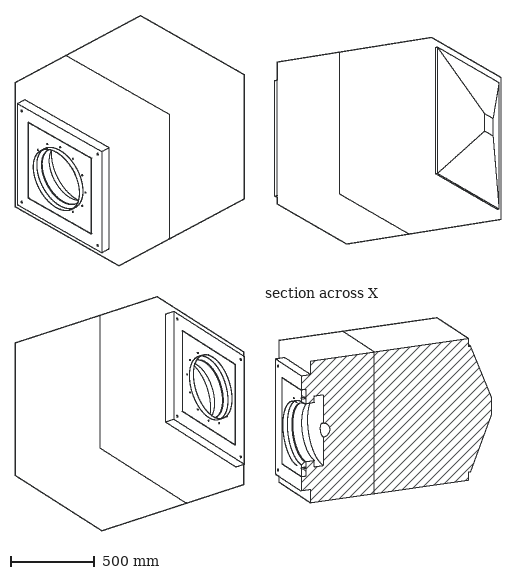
import cadquery as cq


total_length = 1280.0
casing_side = 890.0
front_length = 421.0
rear_length = 620.0
edge_radius = 3.0

frame_side = 722.0
frame_depth = 61.0
frame_hole_spacing = 650.0
frame_hole_diameter = 12.0
frame_hole_depth = 25.0

panel_side = 540.0
panel_recess = 3.0
panel_thickness = 28.0
bolt_circle_radius = 219.0
bolt_count = 12
bolt_hole_diameter = 6.0

spigot_length = 27.0
spigot_radius = 198.0
spigot_wall = 1.0
throat_radius = 180.0
throat_length = 58.0
throat_land = 6.0
chamber_length = 58.0
chamber_radius = 220.0
hub_recess_radius = 42.0

hood_side = 790.0
hood_base_depth = 13.0
hood_tip_side = 109.0

frame_face = -frame_depth
panel_face = frame_face + panel_recess
panel_back = panel_face + panel_thickness
spigot_tip = frame_face - spigot_length
throat_end = panel_back + throat_length
chamber_end = throat_end + chamber_length
rear_face = front_length + rear_length
hood_tip = spigot_tip + total_length


def block(side, y_start, y_end):
    """Square block centred on the Y axis."""
    length = y_end - y_start
    return cq.Workplane("XY").box(side, length, side).translate((0, (y_start + y_end) / 2, 0))


def revolved(profile):
    """Solid of revolution about the Y axis, from (radius, y) points."""
    points = [(y, -radius) for radius, y in profile]
    return cq.Workplane("YZ").polyline(points).close().revolve(360, (0, 0), (1, 0))


def facing_front(y):
    """Workplane at the given Y whose normal points to -Y."""
    return cq.Workplane("XZ", origin=(0, y, 0))


def make_front_housing():
    casing = block(casing_side, 0, front_length).edges().fillet(edge_radius)
    housing = casing.union(block(frame_side, frame_face, edge_radius))
    housing = housing.cut(block(panel_side, frame_face, panel_back))

    passage = revolved([
        (0, panel_back),
        (throat_radius, panel_back),
        (throat_radius, throat_end),
        (chamber_radius, throat_end),
        (chamber_radius, chamber_end),
        (0, chamber_end),
    ])
    hub_recess = cq.Workplane("XY").sphere(hub_recess_radius).translate((0, chamber_end, 0))

    frame_holes = (
        facing_front(frame_face)
        .rect(frame_hole_spacing, frame_hole_spacing, forConstruction=True)
        .vertices()
        .circle(frame_hole_diameter / 2)
        .extrude(-frame_hole_depth)
    )
    return housing.cut(passage).cut(hub_recess).cut(frame_holes)


def make_inlet_panel():
    plate = block(panel_side, panel_face, panel_back)
    spigot = facing_front(panel_back).circle(spigot_radius).extrude(panel_back - spigot_tip)

    bore_radius = spigot_radius - spigot_wall
    bore = revolved([
        (0, spigot_tip),
        (bore_radius, spigot_tip),
        (bore_radius, panel_face),
        (throat_radius, panel_back - throat_land),
        (throat_radius, panel_back),
        (0, panel_back),
    ])

    bolt_holes = (
        facing_front(panel_face)
        .polarArray(bolt_circle_radius, 0, 360, bolt_count)
        .circle(bolt_hole_diameter / 2)
        .extrude(-panel_thickness)
    )
    return plate.union(spigot).cut(bore).cut(bolt_holes)


def make_rear_housing():
    casing = block(casing_side, front_length, rear_face).edges().fillet(edge_radius)
    hood_shoulder = rear_face + hood_base_depth
    base = block(hood_side, rear_face - edge_radius, hood_shoulder)
    taper = (
        facing_front(hood_shoulder)
        .rect(hood_side, hood_side)
        .workplane(offset=hood_shoulder - hood_tip)
        .rect(hood_tip_side, hood_tip_side)
        .loft(ruled=True)
    )
    return casing.union(base).union(taper)


front_housing = make_front_housing()
inlet_panel = make_inlet_panel()
rear_housing = make_rear_housing()

result = cq.Compound.makeCompound([front_housing.val(), inlet_panel.val(), rear_housing.val()])